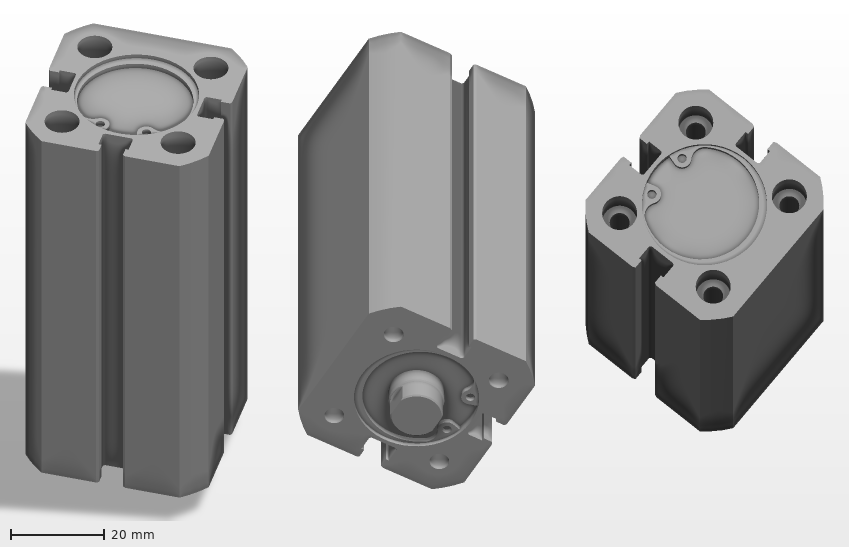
import cadquery as cq
import math

housing_width = 41.0
rod_projection = 6.0
housing_height = 99 - rod_projection
corner_round_diameter = 51.3
bore_diameter = 26.9

slot_floor_distance = 14.4
slot_mouth_width = 5.3
slot_inner_width = 6.7
slot_lip_thickness = 2.4
slot_floor_fillet = 0.6
slot_mouth_chamfer_width = 0.6
slot_mouth_chamfer_depth = 0.3
slot_angles = (0, 180, 270)

mount_hole_offset = 13.0
mount_hole_diameter = 4.3
counterbore_diameter = 7.5
counterbore_depth = 7.9

ring_floor_wall = 0.1
ring_outer_radius = slot_floor_distance - ring_floor_wall
ring_inner_radius = 12.52
ring_inner_offset = 1
ring_thickness = 1.2
ring_recess = 1
lug_x = 5.1
lug_y = -10.4
lug_radius = 2
lug_hole_diameter = 2
lug_blend_radius = 3

rear_cover_thickness = 7.9
front_cover_thickness = 11.9
cover_recess = ring_recess + ring_thickness

rod_diameter = 12.0
rod_nose_diameter = 11.4
rod_shoulder_projection = 1.4
rod_shoulder_chamfer_height = 0.4
rod_nose_chamfer = 0.3
rod_flat_width = 10.0
rod_flat_height = 4.2

half_width = housing_width / 2


def toward(start, end, distance):
    """The point at a distance from start in the direction of end."""
    fraction = distance / math.dist(start, end)
    return (
        start[0] + fraction * (end[0] - start[0]),
        start[1] + fraction * (end[1] - start[1]),
    )


def arc_middle(center, start, end):
    """The middle of the shorter arc from start to end around center."""
    chord_middle = ((start[0] + end[0]) / 2, (start[1] + end[1]) / 2)
    return toward(center, chord_middle, math.dist(center, start))


def circle_crossing(center_a, radius_a, center_b, radius_b):
    """The crossing of two circles that lies right of the line from center_a to center_b."""
    distance = math.dist(center_a, center_b)
    along = (radius_a**2 - radius_b**2 + distance**2) / (2 * distance)
    across = math.sqrt(radius_a**2 - along**2)
    unit_x = (center_b[0] - center_a[0]) / distance
    unit_y = (center_b[1] - center_a[1]) / distance
    return (
        center_a[0] + along * unit_x + across * unit_y,
        center_a[1] + along * unit_y - across * unit_x,
    )


def mirrored(point):
    """The point's mirror image across the YZ plane."""
    return (-point[0], point[1])


def make_slot_cutter(angle):
    """An undercut slot with rounded floor corners and a chamfered mouth."""
    channel_depth = half_width - slot_lip_thickness - slot_floor_distance
    channel = (
        cq.Workplane("XY")
        .box(channel_depth, slot_inner_width, housing_height, centered=(False, True, False))
        .edges("|Z and <X")
        .fillet(slot_floor_fillet)
        .translate((slot_floor_distance, 0, 0))
    )
    lip_start = half_width - slot_lip_thickness
    chamfer_start = half_width - slot_mouth_chamfer_depth
    half_mouth = slot_mouth_width / 2
    half_opening = half_mouth + slot_mouth_chamfer_width
    mouth = (
        cq.Workplane("XY")
        .polyline([
            (lip_start, -half_mouth),
            (chamfer_start, -half_mouth),
            (half_width, -half_opening),
            (half_width, half_opening),
            (chamfer_start, half_mouth),
            (lip_start, half_mouth),
        ])
        .close()
        .extrude(housing_height)
    )
    return channel.union(mouth).rotate((0, 0, 0), (0, 0, 1), angle)


def make_ring(base_z):
    """A retaining ring with two eyelet lugs beside its gap on the -Y side."""
    axis = (0, 0)
    inner_center = (0, -ring_inner_offset)
    lug_center = (-lug_x, lug_y)

    lug_distance = math.dist(axis, lug_center)
    gap_half_angle = math.atan2(lug_x, -lug_y) - math.asin(lug_radius / lug_distance)
    end_outer = (
        -ring_outer_radius * math.sin(gap_half_angle),
        -ring_outer_radius * math.cos(gap_half_angle),
    )
    end_inner = toward(axis, end_outer, math.sqrt(lug_distance**2 - lug_radius**2))

    blend_center = circle_crossing(
        inner_center, ring_inner_radius - lug_blend_radius,
        lug_center, lug_radius + lug_blend_radius,
    )
    blend_lug = toward(lug_center, blend_center, lug_radius)
    blend_inner = toward(inner_center, blend_center, ring_inner_radius)
    blend_middle = arc_middle(blend_center, blend_inner, blend_lug)
    lug_middle = arc_middle(lug_center, blend_lug, end_inner)

    return (
        cq.Workplane("XY")
        .workplane(offset=base_z)
        .moveTo(*end_outer)
        .threePointArc((0, ring_outer_radius), mirrored(end_outer))
        .lineTo(*mirrored(end_inner))
        .threePointArc(mirrored(lug_middle), mirrored(blend_lug))
        .threePointArc(mirrored(blend_middle), mirrored(blend_inner))
        .threePointArc((0, ring_inner_radius - ring_inner_offset), blend_inner)
        .threePointArc(blend_middle, blend_lug)
        .threePointArc(lug_middle, end_inner)
        .close()
        .extrude(ring_thickness)
        .pushPoints([lug_center, mirrored(lug_center)])
        .circle(lug_hole_diameter / 2)
        .cutThruAll()
    )


def make_housing(rings):
    """The slotted extrusion with its bore, mounting holes and matching ring grooves."""
    corner_round = cq.Workplane("XY").circle(corner_round_diameter / 2).extrude(housing_height)
    housing = (
        cq.Workplane("XY")
        .rect(housing_width, housing_width)
        .extrude(housing_height)
        .intersect(corner_round)
        .faces(">Z")
        .workplane()
        .hole(bore_diameter)
        .faces(">Z")
        .workplane()
        .rect(2 * mount_hole_offset, 2 * mount_hole_offset, forConstruction=True)
        .vertices()
        .cboreHole(mount_hole_diameter, counterbore_diameter, counterbore_depth)
    )
    for angle in slot_angles:
        housing = housing.cut(make_slot_cutter(angle))
    for ring in rings:
        housing = housing.cut(ring)
    return housing


def make_rear_cover():
    """A plain disc that closes the bore at the top end."""
    return (
        cq.Workplane("XY")
        .workplane(offset=housing_height - cover_recess - rear_cover_thickness)
        .circle(bore_diameter / 2)
        .extrude(rear_cover_thickness)
    )


def make_front_cover():
    """A disc at the bottom end with a guide hole for the rod."""
    return (
        cq.Workplane("XY")
        .workplane(offset=cover_recess)
        .circle(bore_diameter / 2)
        .circle(rod_diameter / 2)
        .extrude(front_cover_thickness)
    )


def make_flat_cutter():
    """The material removed for the flat on the -Y side, with a 45 degree run-out."""
    flat_y = -rod_flat_width / 2
    outside_y = -rod_diameter / 2
    flat_top = rod_flat_height - rod_projection
    run_out = flat_y - outside_y
    return (
        cq.Workplane("YZ")
        .polyline([
            (flat_y, -rod_projection),
            (flat_y, flat_top),
            (outside_y, flat_top + run_out),
            (outside_y, -rod_projection),
        ])
        .close()
        .extrude(rod_diameter / 2, both=True)
    )


def make_rod():
    """The stepped piston rod, reaching from the rear cover out through the front cover."""
    rod_top = housing_height - cover_recess - rear_cover_thickness
    rod_radius = rod_diameter / 2
    nose_radius = rod_nose_diameter / 2
    nose_top = -rod_shoulder_projection
    flat_cutter = make_flat_cutter()
    nose = (
        cq.Workplane("XY")
        .workplane(offset=-rod_projection)
        .circle(nose_radius)
        .extrude(rod_projection + nose_top)
        .faces("<Z")
        .chamfer(rod_nose_chamfer)
        .cut(flat_cutter)
        .cut(flat_cutter.mirror("XZ"))
    )
    shaft = (
        cq.Workplane("XZ")
        .polyline([
            (0, nose_top),
            (nose_radius, nose_top),
            (rod_radius, nose_top + rod_shoulder_chamfer_height),
            (rod_radius, rod_top),
            (0, rod_top),
        ])
        .close()
        .revolve(360, (0, 0), (0, 1))
    )
    return shaft.union(nose)


ring_base_heights = (ring_recess, housing_height - ring_recess - ring_thickness)
rings = [make_ring(base_z) for base_z in ring_base_heights]
housing = make_housing(rings)
rear_cover = make_rear_cover()
front_cover = make_front_cover()
rod = make_rod()

result = cq.Compound.makeCompound([
    housing.solids().val(),
    rear_cover.val(),
    front_cover.val(),
    rod.solids().val(),
    *[ring.solids().val() for ring in rings],
])